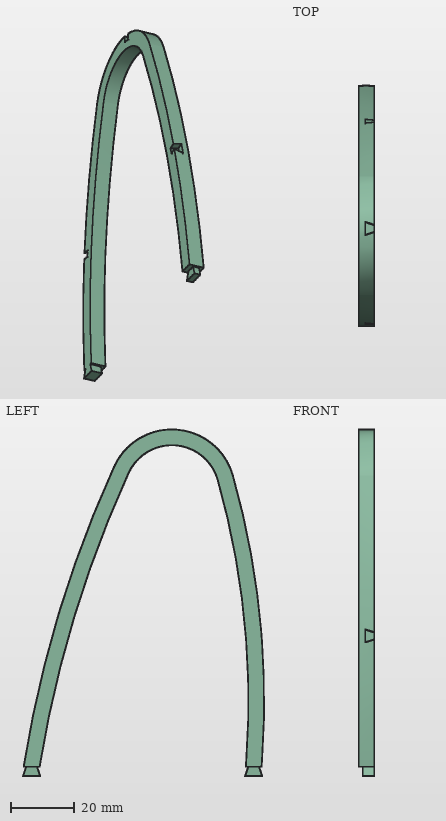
import cadquery as cq
import math

thickness = 5.0
band_width = 5.0
half_thickness = thickness / 2

total_height = 109.3
cap_radius = 20.0
cap_y = -9.0
cap_z = total_height - cap_radius

front_radius = 260.9
front_joint_angle = 15.8
back_radius = 368.2
back_joint_angle = 24.5

tenon_height = 3.0
tenon_inset = 1.3
front_tenon_length = thickness - tenon_inset
back_tenon_length = 2.1
tenon_tip_width = 5.5
tenon_neck_width = 3.5
front_foot_straight = 2.2

socket_reach = 3.0
socket_depth = 2.2
socket_inner_width = 4.2
socket_mouth_width = 2.2
cap_socket_y = -7.1
front_socket_z = 44.3
back_socket_z = 51.5
cutter_overrun = 1.1


def leg_center(side, radius, joint_angle):
    """Center of a leg's arc; side is +1 for the +Y leg and -1 for the -Y leg."""
    distance = radius - cap_radius
    angle = math.radians(joint_angle)
    return cap_y - side * distance * math.cos(angle), cap_z - distance * math.sin(angle)


front_center = leg_center(-1, front_radius, front_joint_angle)
back_center = leg_center(1, back_radius, back_joint_angle)


def point_on_leg(side, center, radius, z):
    """Point of a leg arc at height z."""
    return center[0] + side * math.sqrt(radius**2 - (z - center[1]) ** 2), z


def leg_points(side, center, outer_radius, joint_angle, foot_z, inset):
    """Joint, middle and foot points of a leg edge, inset from its outer edge."""
    angle = math.radians(joint_angle)
    reach = cap_radius - inset
    joint = (cap_y + side * reach * math.cos(angle), cap_z + reach * math.sin(angle))
    radius = outer_radius - inset
    middle = point_on_leg(side, center, radius, (joint[1] + foot_z) / 2)
    return joint, middle, point_on_leg(side, center, radius, foot_z)


def straight_end(arc_foot, center):
    """End of the straight stretch that leaves the front arc along its tangent."""
    slope = -(arc_foot[1] - center[1]) / (arc_foot[0] - center[0])
    return arc_foot[0] - front_foot_straight * slope, tenon_height


def make_band():
    front_arc_end = tenon_height + front_foot_straight
    front_outer = leg_points(-1, front_center, front_radius, front_joint_angle, front_arc_end, 0)
    front_inner = leg_points(-1, front_center, front_radius, front_joint_angle, front_arc_end, band_width)
    back_outer = leg_points(1, back_center, back_radius, back_joint_angle, tenon_height, 0)
    back_inner = leg_points(1, back_center, back_radius, back_joint_angle, tenon_height, band_width)
    return (
        cq.Workplane("YZ")
        .moveTo(*straight_end(front_outer[2], front_center))
        .lineTo(*front_outer[2])
        .threePointArc(front_outer[1], front_outer[0])
        .threePointArc((cap_y, total_height), back_outer[0])
        .threePointArc(back_outer[1], back_outer[2])
        .lineTo(*back_inner[2])
        .threePointArc(back_inner[1], back_inner[0])
        .threePointArc((cap_y, total_height - band_width), front_inner[0])
        .threePointArc(front_inner[1], front_inner[2])
        .lineTo(*straight_end(front_inner[2], front_center))
        .close()
        .extrude(half_thickness, both=True)
    )


def make_tenon(side, center, outer_radius, length):
    """Dovetail tenon centered under a foot, widening downward."""
    middle_y = point_on_leg(side, center, outer_radius - band_width / 2, tenon_height)[0]
    return (
        cq.Workplane("YZ", origin=(tenon_inset - half_thickness, middle_y, 0))
        .moveTo(-tenon_tip_width / 2, 0)
        .lineTo(tenon_tip_width / 2, 0)
        .lineTo(tenon_neck_width / 2, tenon_height)
        .lineTo(-tenon_neck_width / 2, tenon_height)
        .close()
        .extrude(length)
    )


def make_socket(edge_point, arc_center):
    """Dovetail cutter entering the outer edge along its normal."""
    normal_y = edge_point[0] - arc_center[0]
    normal_z = edge_point[1] - arc_center[1]
    plane = cq.Plane(
        origin=(half_thickness, *edge_point), xDir=(1, 0, 0), normal=(0, normal_y, normal_z)
    )
    return (
        cq.Workplane(plane)
        .workplane(offset=-socket_depth)
        .moveTo(0, -socket_mouth_width / 2)
        .lineTo(0, socket_mouth_width / 2)
        .lineTo(-socket_reach, socket_inner_width / 2)
        .lineTo(-socket_reach, -socket_inner_width / 2)
        .close()
        .extrude(socket_depth + cutter_overrun)
    )


result = make_band()
result = result.union(make_tenon(-1, front_center, front_radius, front_tenon_length))
result = result.union(make_tenon(1, back_center, back_radius, back_tenon_length))

cap_center = (cap_y, cap_z)
cap_socket_point = (cap_socket_y, cap_z + math.sqrt(cap_radius**2 - (cap_socket_y - cap_y) ** 2))
front_socket_point = point_on_leg(-1, front_center, front_radius, front_socket_z)
back_socket_point = point_on_leg(1, back_center, back_radius, back_socket_z)
for edge_point, arc_center in (
    (cap_socket_point, cap_center),
    (front_socket_point, front_center),
    (back_socket_point, back_center),
):
    result = result.cut(make_socket(edge_point, arc_center))